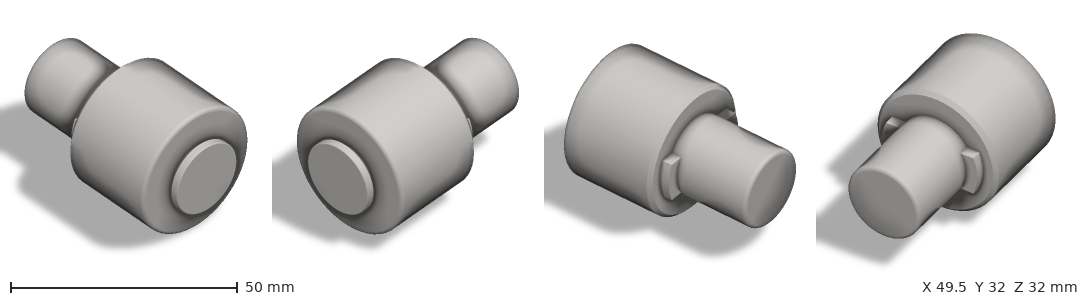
import cadquery as cq

total_length = 49.5
shaft_length = 21.5
neck_length = 1.5
flange_length = 2.05
body_length = total_length - shaft_length - neck_length - flange_length

shaft_diameter = 19.0
body_diameter = 32.0
neck_diameter = 14.5
flange_diameter = 18.0

edge_size = 1.0
flange_edge_fillet = 0.3
neck_corner_fillet = 0.3

tab_length = 2.5
tab_width = 10.0
tab_outer_diameter = 25.0

body_start = shaft_length
neck_start = body_start + body_length
flange_start = neck_start + neck_length


def cylinder(start, length, diameter):
    """Solid cylinder along +X, beginning at the given station."""
    return cq.Workplane("YZ", origin=(start, 0, 0)).circle(diameter / 2).extrude(length)


shaft = cylinder(0, shaft_length, shaft_diameter).faces("<X").edges().fillet(edge_size)
body = cylinder(body_start, body_length, body_diameter)
body = body.faces("<X").edges().chamfer(edge_size)
body = body.faces(">X").edges().fillet(edge_size)
neck = cylinder(neck_start, neck_length, neck_diameter)
flange = cylinder(flange_start, flange_length, flange_diameter)

stub = neck.union(flange)
stub = stub.edges(cq.selectors.RadiusNthSelector(0)).edges(">X").fillet(neck_corner_fillet)
stub = stub.edges(cq.selectors.RadiusNthSelector(-1)).fillet(flange_edge_fillet)

tab_start = body_start - tab_length
tab_bar = cq.Workplane("XY").box(tab_length, tab_outer_diameter, tab_width)
tab_bar = tab_bar.translate((tab_start + tab_length / 2, 0, 0))
tabs = tab_bar.intersect(cylinder(tab_start, tab_length, tab_outer_diameter))

result = shaft.union(body).union(stub).union(tabs)